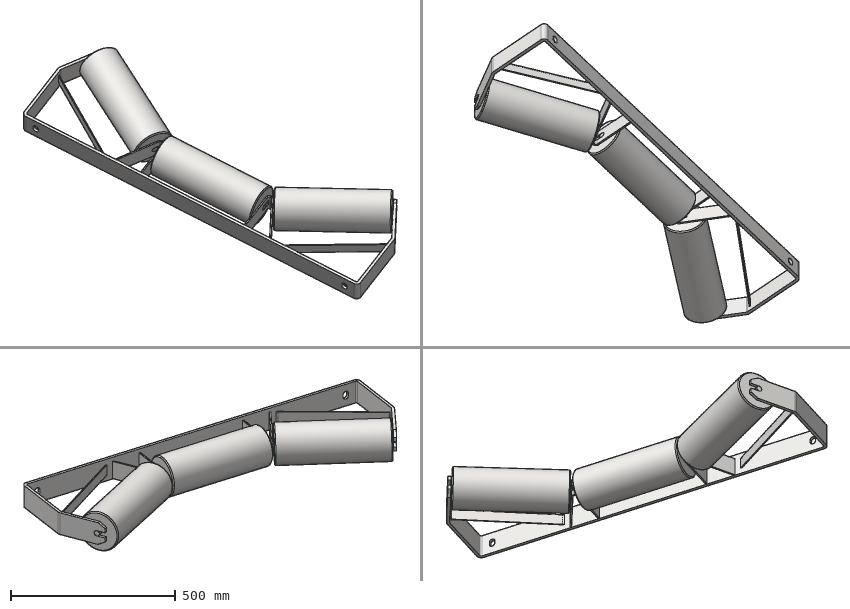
import cadquery as cq
import math

frame_length = 1210.0
frame_height = 76.0
frame_thickness = 10.0
frame_bend_radius = 15.0
arm_bend_y = 209.0
arm_tip_y = 347.0
arm_tip_chamfer_along = 24.0
arm_tip_chamfer_across = 15.0
mount_hole_x = 555.0
mount_hole_width = 18.0
mount_hole_height = 27.0

roller_diameter = 133.0
roller_length = 360.0
roller_edge = 4.0
shaft_diameter = 18.0
trough_angle = 30.0
tilt_angle = 1.0
middle_axis_y = 125.0
middle_axis_z = -6.0
side_center = (-373.0, 226.0, -4.0)
slot_reach = 36.0
slot_end_clearance = 1.0

plate_thickness = 5.0
bracket_height = 60.0
plate_bend_radius = 10.0
roller_gap = 4.0
bracket_top_y = 152.0

brace_height = 36.0
brace_thickness = 4.0
brace_wall_y = 198.0
brace_base_x = -305.0

half_length = frame_length / 2
lean = math.radians(trough_angle)
axis_x, axis_y = math.cos(lean), -math.sin(lean)
arm_x, arm_y = math.sin(lean), math.cos(lean)
inner_wall_x = half_length - frame_thickness
inner_shaft_end = roller_length / 2 + roller_gap + plate_thickness
outer_shaft_end = (
    (side_center[0] + half_length) * axis_x + (side_center[1] - arm_bend_y) * axis_y
)


def mirrored(shape):
    """The right-hand copy of a left-hand body."""
    return shape.mirror("YZ")


def upright(points, height):
    """Prism over an outline, centred on the mid height of the frame."""
    return cq.Workplane("XY").polyline(points).close().extrude(height / 2, both=True)


def round_corners(body, points, radius):
    """Round the upright edges that stand at the given points."""
    for x, y in points:
        body = body.edges("|Z").edges(cq.selectors.NearestToPointSelector((x, y, 0))).fillet(radius)
    return body


def at_side(shape):
    """Move a shape from the origin, axis along X, to the left roller position."""
    tilted = shape.rotate((0, 0, 0), (0, 1, 0), tilt_angle)
    return tilted.rotate((0, 0, 0), (0, 0, 1), -trough_angle).translate(side_center)


def at_middle(shape):
    """Move a shape from the origin, axis along X, to the middle roller position."""
    return shape.translate((0, middle_axis_y, middle_axis_z))


def rod(start, end, diameter):
    """Cylinder along X from start to end."""
    return cq.Workplane("YZ", origin=(start, 0, 0)).circle(diameter / 2).extrude(end - start)


def make_roller(shaft_start, shaft_end):
    """Roller shell and shaft as one body, axis along X and centred on the origin."""
    shell = rod(-roller_length / 2, roller_length / 2, roller_diameter)
    shell = shell.faces("<X or >X").edges().chamfer(roller_edge)
    return shell.union(rod(shaft_start, shaft_end, shaft_diameter))


def make_slot_cutter(shaft_start, shaft_end):
    """Round-bottomed channel that lets a shaft drop in from +Y."""
    start = shaft_start - slot_end_clearance
    end = shaft_end + slot_end_clearance
    channel = cq.Workplane("XY").box(
        end - start, slot_reach, shaft_diameter, centered=(False, False, True)
    )
    return channel.translate((start, 0, 0)).union(rod(start, end, shaft_diameter))


middle_slot = at_middle(make_slot_cutter(-inner_shaft_end, inner_shaft_end))
side_slot = at_side(make_slot_cutter(-outer_shaft_end, inner_shaft_end))


def make_frame():
    """Bent strip with notched arm tips, shaft slots and mounting holes."""
    arm_length = (arm_tip_y - arm_bend_y) / arm_y
    tip_x = -half_length + arm_length * arm_x
    inner_bend_y = arm_bend_y - frame_thickness * math.tan(lean / 2)
    outer_half = [(tip_x, arm_tip_y), (-half_length, arm_bend_y), (-half_length, 0)]
    inner_half = [
        (-inner_wall_x, frame_thickness),
        (-inner_wall_x, inner_bend_y),
        (tip_x + frame_thickness * axis_x, arm_tip_y + frame_thickness * axis_y),
    ]
    outline = outer_half + [(-x, y) for x, y in outer_half[::-1]]
    outline += [(-x, y) for x, y in inner_half[::-1]] + inner_half
    frame = upright(outline, frame_height)

    bends_and_radii = (
        (outer_half[1:], frame_bend_radius),
        (inner_half[:2], frame_bend_radius - frame_thickness),
    )
    for bends, radius in bends_and_radii:
        frame = round_corners(frame, bends + [(-x, y) for x, y in bends], radius)

    half_height = frame_height / 2
    wedge = (
        cq.Workplane("YZ")
        .polyline([
            (0, half_height),
            (-arm_tip_chamfer_along, half_height),
            (0, half_height - arm_tip_chamfer_across),
        ])
        .close()
        .extrude(frame_thickness)
        .rotate((0, 0, 0), (0, 0, 1), -trough_angle)
        .translate((tip_x, arm_tip_y, 0))
    )
    wedges = wedge.union(wedge.mirror("XY"))
    for cutter in (wedges, side_slot):
        frame = frame.cut(cutter).cut(mirrored(cutter))

    holes = (
        cq.Workplane("XZ")
        .pushPoints([(-mount_hole_x, 0), (mount_hole_x, 0)])
        .slot2D(mount_hole_height, mount_hole_width, 90)
        .extrude(-frame_thickness)
    )
    return frame.cut(holes)


def make_bracket():
    """Left inner bracket: sloping leg, short top and vertical leg."""
    leg_x = -(roller_length / 2 + roller_gap)
    leg_back_x = leg_x - plate_thickness
    face_distance = side_center[0] * axis_x + side_center[1] * axis_y + roller_length / 2 + roller_gap

    def slope_x(y, depth):
        """X of the sloping leg at height y, depth into the plate from its roller side."""
        return (face_distance + depth - y * axis_y) / axis_x

    base_y = frame_thickness
    under_y = bracket_top_y - plate_thickness
    outer = [(slope_x(bracket_top_y, 0), bracket_top_y), (leg_x, bracket_top_y)]
    inner = [(leg_back_x, under_y), (slope_x(under_y, plate_thickness), under_y)]
    outline = [(slope_x(base_y, 0), base_y), *outer, (leg_x, base_y)]
    outline += [(leg_back_x, base_y), *inner, (slope_x(base_y, plate_thickness), base_y)]
    bracket = upright(outline, bracket_height)
    bracket = round_corners(bracket, outer, plate_bend_radius)
    bracket = round_corners(bracket, inner, plate_bend_radius - plate_thickness)
    bracket = bracket.translate((0, 0, middle_axis_z))
    return bracket.cut(middle_slot).cut(side_slot)


def make_brace():
    """Left brace, its ends cut flush with the end wall and the base."""
    rise = brace_wall_y - frame_thickness
    run = brace_base_x + inner_wall_x
    slope = math.atan2(rise, run)
    outline = [
        (-inner_wall_x, brace_wall_y),
        (-inner_wall_x, brace_wall_y - brace_thickness / math.cos(slope)),
        (brace_base_x - brace_thickness / math.sin(slope), frame_thickness),
        (brace_base_x, frame_thickness),
    ]
    return upright(outline, brace_height)


frame = make_frame()
middle_roller = at_middle(make_roller(-inner_shaft_end, inner_shaft_end))
side_roller = at_side(make_roller(-outer_shaft_end, inner_shaft_end))

bodies = [frame.val(), middle_roller.val()]
for left_body in (side_roller, make_bracket(), make_brace()):
    bodies += [left_body.val(), mirrored(left_body).val()]

result = cq.Compound.makeCompound(bodies)